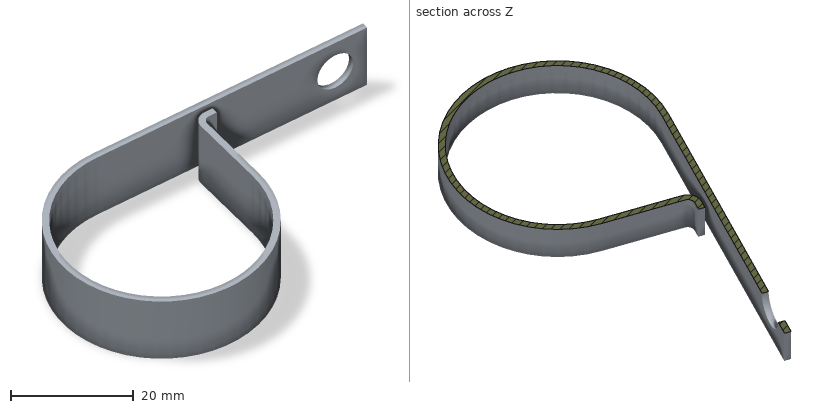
import cadquery as cq
import math

strip_width = 12.7
thickness = 1.22

loop_inner_radius = 18.25
loop_outer_radius = loop_inner_radius + thickness

overall_length = 73.44
leg_end_y = overall_length - loop_outer_radius

hole_diameter = 7.14
hole_end_distance = strip_width / 2

lip_gap = thickness
lip_height = 2.78
bend_inner_radius = thickness
bend_outer_radius = bend_inner_radius + thickness
lip_left_x = -loop_inner_radius + lip_gap
lip_right_x = lip_left_x + thickness
lip_top_y = loop_outer_radius + lip_height
bend_center_x = lip_left_x + bend_outer_radius
bend_center_y = loop_inner_radius + bend_outer_radius


def bend_midpoint(radius):
    """Middle of the quarter-turn arc that joins the tangent run to the lip."""
    offset = radius * math.sqrt(0.5)
    return (bend_center_x - offset, bend_center_y - offset)


def loop_midpoint(radius):
    """Middle of the three-quarter loop arc, opposite its open quadrant."""
    offset = radius * math.sqrt(0.5)
    return (offset, -offset)


def make_strip():
    """Bent strip: leg, three-quarter loop, tangent run and lip, centred on Z = 0."""
    return (
        cq.Workplane("XY")
        .workplane(offset=-strip_width / 2)
        .moveTo(-loop_outer_radius, leg_end_y)
        .lineTo(-loop_outer_radius, 0)
        .threePointArc(loop_midpoint(loop_outer_radius), (0, loop_outer_radius))
        .lineTo(bend_center_x, loop_outer_radius)
        .threePointArc(bend_midpoint(bend_inner_radius), (lip_right_x, bend_center_y))
        .lineTo(lip_right_x, lip_top_y)
        .lineTo(lip_left_x, lip_top_y)
        .lineTo(lip_left_x, bend_center_y)
        .threePointArc(bend_midpoint(bend_outer_radius), (bend_center_x, loop_inner_radius))
        .lineTo(0, loop_inner_radius)
        .threePointArc(loop_midpoint(loop_inner_radius), (-loop_inner_radius, 0))
        .lineTo(-loop_inner_radius, leg_end_y)
        .close()
        .extrude(strip_width)
    )


def make_hole_cutter():
    """Cylinder along X that passes through the leg only."""
    return (
        cq.Workplane("YZ")
        .workplane(offset=-loop_outer_radius)
        .center(leg_end_y - hole_end_distance, 0)
        .circle(hole_diameter / 2)
        .extrude(thickness)
    )


result = make_strip().cut(make_hole_cutter())